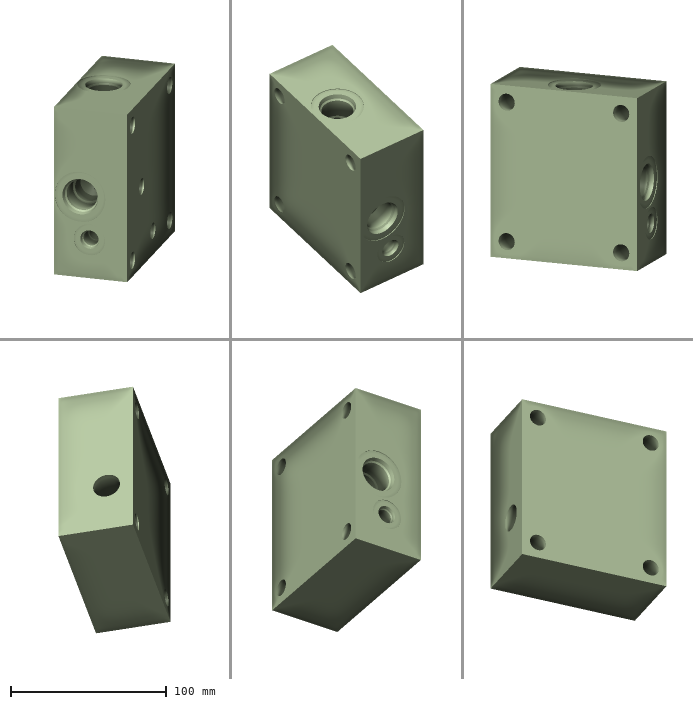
import cadquery as cq
import math

WIDTH = 49.3
DEPTH = 101.6
HEIGHT = 114.3

MOUNT_DIAMETER = 11.2
MOUNT_INSET = 11.1

DRILL_POINT_ANGLE = 118.0
POINT_SLOPE = 1 / math.tan(math.radians(DRILL_POINT_ANGLE / 2))

SHOULDER_ANGLE = 150.0
SHOULDER_SLOPE = 1 / math.tan(math.radians(SHOULDER_ANGLE / 2))

SPOT_DEPTH = 0.5

PORT_X = 17.5
LARGE_SPOT_DIAMETER = 34.1
LARGE_MOUTH_DIAMETER = 24.0
LARGE_SEAT_DIAMETER = 22.5
LARGE_THREAD_DIAMETER = 20.6
LARGE_DRILL_DIAMETER = 17.7
LARGE_SEAT_DEPTH = 3.3
LARGE_THREAD_DEPTH = 17.1

FRONT_PORT_Z = 54.7
FRONT_DRILL_DEPTH = 28.6
TOP_PORT_Y = DEPTH / 2
TOP_DRILL_DEPTH = 96.2

SMALL_PORT_X = 23.8
SMALL_PORT_Z = 26.2
SMALL_SPOT_DIAMETER = 21.0
SMALL_MOUTH_DIAMETER = 12.5
SMALL_SEAT_DIAMETER = 11.4
SMALL_THREAD_DIAMETER = 10.1
SMALL_DRILL_DIAMETER = 8.9
SMALL_SEAT_DEPTH = 2.9
SMALL_THREAD_DEPTH = 13.7
SMALL_DRILL_DEPTH = TOP_PORT_Y

CROSS_DIAMETER = 10.7
FRONT_CROSS_BEYOND_DRILL = 2.3
FRONT_CROSS_Y = FRONT_DRILL_DEPTH + FRONT_CROSS_BEYOND_DRILL
TOP_CROSS_SIDE_OFFSET = 3.8
TOP_CROSS_Y = TOP_PORT_Y + TOP_CROSS_SIDE_OFFSET
TOP_CROSS_BEYOND_DRILL = 1.7
TOP_CROSS_Z = HEIGHT - TOP_DRILL_DEPTH - TOP_CROSS_BEYOND_DRILL

REAR_DIAMETER = LARGE_DRILL_DIAMETER
REAR_Z = 35.7


def port_cutter(spot, mouth, seat, thread, drill, seat_depth, thread_depth, drill_depth):
    """Stepped port with a drill point, opening at the origin and running along -Z. Takes diameters."""
    thread_start = seat_depth + (seat - thread) / 2
    drill_start = thread_depth + (thread - drill) / 2 * SHOULDER_SLOPE
    point_depth = drill_depth + drill / 2 * POINT_SLOPE
    return (
        cq.Workplane("XZ")
        .moveTo(0, 0)
        .lineTo(spot / 2, 0)
        .lineTo(spot / 2, -SPOT_DEPTH)
        .lineTo(mouth / 2, -SPOT_DEPTH)
        .lineTo(seat / 2, -seat_depth)
        .lineTo(thread / 2, -thread_start)
        .lineTo(thread / 2, -thread_depth)
        .lineTo(drill / 2, -drill_start)
        .lineTo(drill / 2, -drill_depth)
        .lineTo(0, -point_depth)
        .close()
        .revolve(360, (0, 0, 0), (0, 1, 0))
    )


def large_port(drill_depth):
    return port_cutter(
        LARGE_SPOT_DIAMETER,
        LARGE_MOUTH_DIAMETER,
        LARGE_SEAT_DIAMETER,
        LARGE_THREAD_DIAMETER,
        LARGE_DRILL_DIAMETER,
        LARGE_SEAT_DEPTH,
        LARGE_THREAD_DEPTH,
        drill_depth,
    )


def small_port():
    return port_cutter(
        SMALL_SPOT_DIAMETER,
        SMALL_MOUTH_DIAMETER,
        SMALL_SEAT_DIAMETER,
        SMALL_THREAD_DIAMETER,
        SMALL_DRILL_DIAMETER,
        SMALL_SEAT_DEPTH,
        SMALL_THREAD_DEPTH,
        SMALL_DRILL_DEPTH,
    )


def in_front_face(cutter, x, z):
    """Turn a cutter that runs along -Z so that it enters the front face and runs along +Y."""
    return cutter.rotate((0, 0, 0), (1, 0, 0), 90).translate((x, 0, z))


def mount_hole(y, z):
    """Clearance hole along X through the whole block."""
    return cq.Solid.makeCylinder(MOUNT_DIAMETER / 2, WIDTH, cq.Vector(0, y, z), cq.Vector(1, 0, 0))


def cross_passage(y, z):
    """Flat-ended hole along X, from the port axis to the +X face."""
    radius = CROSS_DIAMETER / 2
    return cq.Solid.makeCylinder(radius, WIDTH - PORT_X, cq.Vector(PORT_X, y, z), cq.Vector(1, 0, 0))


def pointed_end(y, z):
    """Drill point that closes a cross passage on the -X side of the port axis."""
    radius = CROSS_DIAMETER / 2
    return cq.Solid.makeCone(
        radius, 0, radius * POINT_SLOPE, cq.Vector(PORT_X, y, z), cq.Vector(-1, 0, 0)
    )


def rear_passage():
    """Hole along Y, from the top port's axis to the +Y face."""
    start = cq.Vector(PORT_X, TOP_PORT_Y, REAR_Z)
    return cq.Solid.makeCylinder(REAR_DIAMETER / 2, DEPTH - TOP_PORT_Y, start, cq.Vector(0, 1, 0))


def make_block():
    block = cq.Workplane("XY").box(WIDTH, DEPTH, HEIGHT, centered=False)

    for y in (MOUNT_INSET, DEPTH - MOUNT_INSET):
        for z in (MOUNT_INSET, HEIGHT - MOUNT_INSET):
            block = block.cut(cq.Workplane(mount_hole(y, z)))

    block = block.cut(in_front_face(large_port(FRONT_DRILL_DEPTH), PORT_X, FRONT_PORT_Z))
    block = block.cut(in_front_face(small_port(), SMALL_PORT_X, SMALL_PORT_Z))
    block = block.cut(large_port(TOP_DRILL_DEPTH).translate((PORT_X, TOP_PORT_Y, HEIGHT)))

    passages = (
        cross_passage(FRONT_CROSS_Y, FRONT_PORT_Z),
        cross_passage(TOP_CROSS_Y, TOP_CROSS_Z),
        pointed_end(TOP_CROSS_Y, TOP_CROSS_Z),
        rear_passage(),
    )
    for passage in passages:
        block = block.cut(cq.Workplane(passage))
    return block


block = make_block()

result = cq.Compound.makeCompound([block.val()])